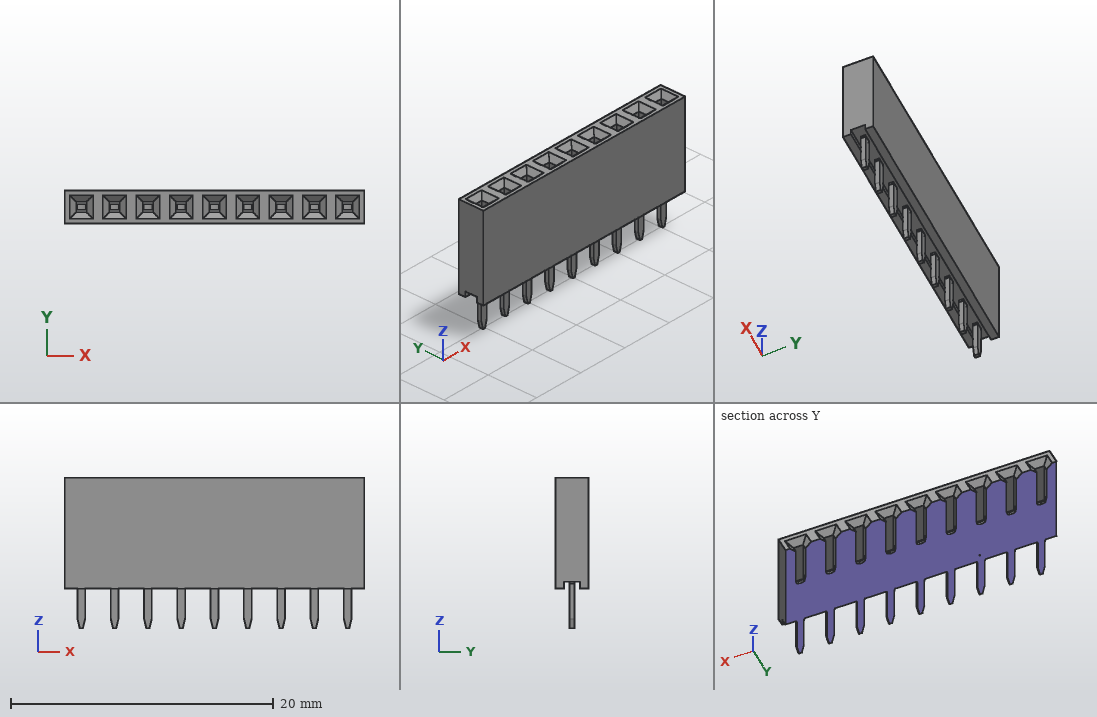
import cadquery as cq
import math


contact_count = 9
body_length = 22.85
pitch = body_length / contact_count
body_width = pitch
body_height = 8.45
groove_width = 1.2
groove_depth = 0.5

funnel_mouth = 1.78
funnel_throat = 0.8
funnel_depth = 0.5
socket_depth = 4.11

strip_thickness = 0.4
pin_width = 0.62
pin_tip_width = 0.25
pin_length = 3.05
pin_taper_length = 0.75
shoulder_height = 0.149
shoulder_slope = 23.0
shoulder_width = pin_width + 2 * shoulder_height * math.tan(math.radians(shoulder_slope))

fork_arm_height = 0.55
fork_root_gap = 0.65
fork_arc_depth = 0.095
fork_root_thickness = fork_arc_depth

funnel_bottom = body_height - funnel_depth
socket_floor = body_height - socket_depth
contact_positions = [(i - (contact_count - 1) / 2) * pitch for i in range(contact_count)]


def make_body():
    """Rectangular bar with a groove along the middle of its underside."""
    bar = cq.Workplane("XY").box(body_length, body_width, body_height, centered=(True, True, False))
    groove = cq.Workplane("XY").box(body_length, groove_width, groove_depth, centered=(True, True, False))
    return bar.cut(groove)


def make_socket():
    """Square socket with a funnel-shaped mouth."""
    funnel = (
        cq.Workplane("XY", origin=(0, 0, funnel_bottom))
        .rect(funnel_throat, funnel_throat)
        .workplane(offset=funnel_depth)
        .rect(funnel_mouth, funnel_mouth)
        .loft(ruled=True)
    )
    shaft = cq.Workplane("XY", origin=(0, 0, socket_floor)).box(
        funnel_throat, funnel_throat, socket_depth - funnel_depth, centered=(True, True, False)
    )
    return funnel.union(shaft)


def make_fork():
    """Two leaning arms joined by a hollow round root."""
    half_gap = fork_root_gap / 2
    half_width = funnel_throat / 2
    root_bottom = socket_floor + fork_root_thickness
    root_end = root_bottom + fork_arc_depth
    arm_top = socket_floor + fork_arm_height
    return (
        cq.Workplane("XZ")
        .moveTo(-half_width, socket_floor)
        .lineTo(-half_width, arm_top)
        .lineTo(-half_gap, root_end)
        .threePointArc((0, root_bottom), (half_gap, root_end))
        .lineTo(half_width, arm_top)
        .lineTo(half_width, socket_floor)
        .close()
        .extrude(strip_thickness / 2, both=True)
    )


def make_pin():
    """Flat solder pin with a sloped shoulder and a tapered tip."""
    taper_start = pin_taper_length - pin_length
    shoulder_bottom = groove_depth - shoulder_height
    right_side = [
        (pin_tip_width / 2, -pin_length),
        (pin_width / 2, taper_start),
        (pin_width / 2, shoulder_bottom),
        (shoulder_width / 2, groove_depth),
    ]
    left_side = [(-x, z) for x, z in reversed(right_side)]
    return cq.Workplane("XZ").polyline(right_side + left_side).close().extrude(strip_thickness / 2, both=True)


socket = make_socket()
contact = make_fork().union(make_pin())

result = make_body()
for x in contact_positions:
    result = result.cut(socket.translate((x, 0, 0)))
    result = result.union(contact.translate((x, 0, 0)))